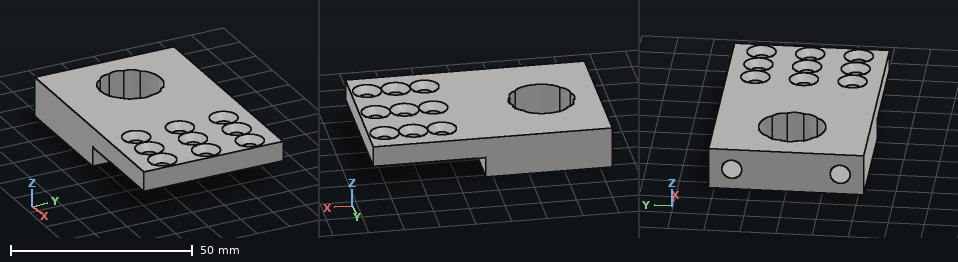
import cadquery as cq
import math

LENGTH = 67.0
WIDTH = 43.0
HEIGHT = 12.0
BLOCK_LENGTH = 35.5
TONGUE_THICKNESS = 6.0

OPENING_X = 16.0
OPENING_RADIUS = 9.25
LOBE_RADIUS = 3.9
LOBE_CENTER_RADIUS = OPENING_RADIUS - LOBE_RADIUS
LOBE_STEP_ANGLE = 30.0
LOBES_PER_SIDE = 5

END_HOLE_DIAMETER = 5.5
END_HOLE_SPACING = 30.0
END_HOLE_DEPTH = 20.1

SCREW_HOLE_DIAMETER = 4.0
COUNTERSINK_DIAMETER = 8.0
COUNTERSINK_ANGLE = 90.0
SCREW_COLUMNS = 3
SCREW_ROWS = 3
COLUMN_PITCH = 8.05
ROW_PITCH = 13.5
LAST_COLUMN_TO_EDGE = 4.6


def stepped_plate():
    """Side profile in XZ, extruded symmetrically across the width."""
    step_z = HEIGHT - TONGUE_THICKNESS
    return (
        cq.Workplane("XZ")
        .moveTo(0, 0)
        .lineTo(BLOCK_LENGTH, 0)
        .lineTo(BLOCK_LENGTH, step_z)
        .lineTo(LENGTH, step_z)
        .lineTo(LENGTH, HEIGHT)
        .lineTo(0, HEIGHT)
        .close()
        .extrude(WIDTH / 2, both=True)
    )


def lobe_point(lobe_angle, swing):
    """Point on a lobe, swung in degrees about the lobe's own centre from its outermost point."""
    lobe_turn = math.radians(lobe_angle)
    point_turn = math.radians(lobe_angle + swing)
    x = LOBE_CENTER_RADIUS * math.cos(lobe_turn) + LOBE_RADIUS * math.cos(point_turn)
    y = LOBE_CENTER_RADIUS * math.sin(lobe_turn) + LOBE_RADIUS * math.sin(point_turn)
    return (x, y)


def lobed_opening():
    """Scalloped lobes on both X sides, joined by plain arcs on both Y sides."""
    half_step = LOBE_STEP_ANGLE / 2
    sine_ratio = LOBE_CENTER_RADIUS * math.sin(math.radians(half_step)) / LOBE_RADIUS
    cusp_swing = half_step + math.degrees(math.asin(sine_ratio))

    half_span = (LOBES_PER_SIDE - 1) * LOBE_STEP_ANGLE / 2
    outline = cq.Workplane("XY").center(OPENING_X, 0).moveTo(*lobe_point(-half_span, 0))
    for side_angle in (0, 180):
        first_angle = side_angle - half_span
        for index in range(LOBES_PER_SIDE):
            angle = first_angle + index * LOBE_STEP_ANGLE
            start = 0 if index == 0 else -cusp_swing
            end = 0 if index == LOBES_PER_SIDE - 1 else cusp_swing
            middle = (start + end) / 2
            outline = outline.threePointArc(lobe_point(angle, middle), lobe_point(angle, end))
        next_first_angle = first_angle + 180
        outline = outline.threePointArc(lobe_point(side_angle + 90, 0), lobe_point(next_first_angle, 0))
    return outline.close().extrude(HEIGHT)


def end_holes():
    """Two blind holes running in from the low-X face at mid height."""
    return (
        cq.Workplane("YZ")
        .pushPoints([(-END_HOLE_SPACING / 2, HEIGHT / 2), (END_HOLE_SPACING / 2, HEIGHT / 2)])
        .circle(END_HOLE_DIAMETER / 2)
        .extrude(END_HOLE_DEPTH)
    )


def drill_screw_holes(plate):
    """Countersunk through holes, sunk from the top face of the tongue."""
    middle_column_x = LENGTH - LAST_COLUMN_TO_EDGE - (SCREW_COLUMNS - 1) * COLUMN_PITCH / 2
    return (
        plate.faces(">Z")
        .workplane(origin=(middle_column_x, 0, HEIGHT))
        .rarray(COLUMN_PITCH, ROW_PITCH, SCREW_COLUMNS, SCREW_ROWS)
        .cskHole(SCREW_HOLE_DIAMETER, COUNTERSINK_DIAMETER, COUNTERSINK_ANGLE)
    )


result = drill_screw_holes(stepped_plate().cut(lobed_opening()).cut(end_holes()))